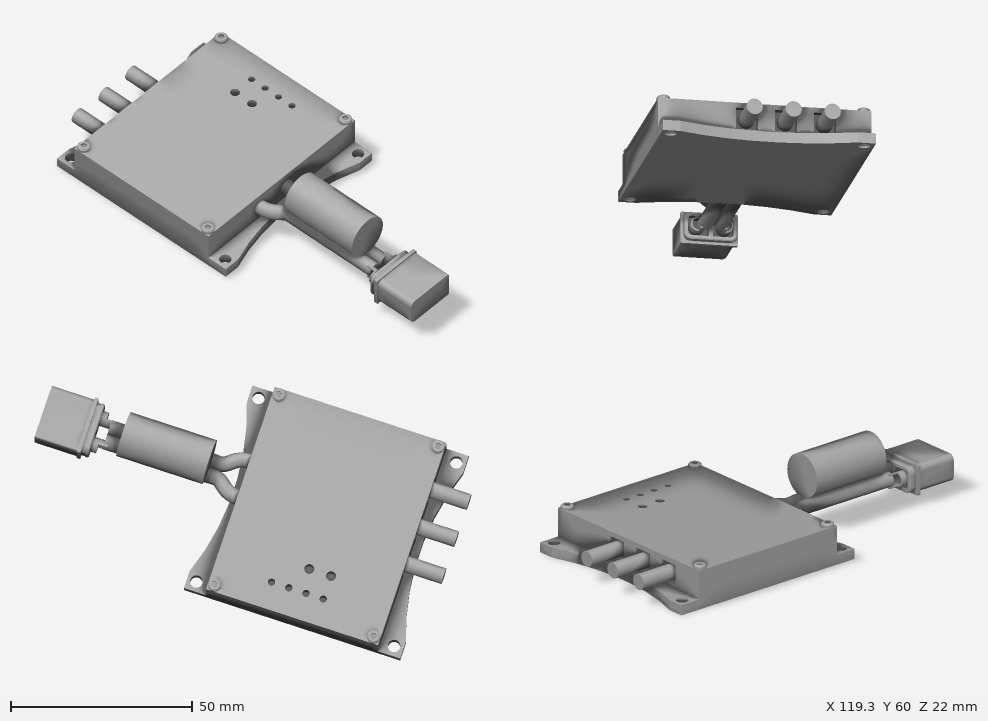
import cadquery as cq


OVERALL_LENGTH = 119.3

HOUSING_LENGTH = 50.0
HOUSING_WIDTH = 60.0
HOUSING_HEIGHT = 11.6
FLANGE_LENGTH = 62.9
FLANGE_HEIGHT = 3.0
FLANGE_CORNER_WIDTH = 5.0
FLANGE_WAIST_DEPTH = 4.4
MOUNT_HOLE_DIAMETER = 3.5
MOUNT_HOLE_X = 28.8
MOUNT_HOLE_Y = 27.2

LID_HOLE_DEPTH = 3.0
FIRST_LID_HOLE_X = -6.6
LIGHT_DIAMETER = 2.0
LIGHT_COUNT = 4
LIGHT_SPACING = 5.0
LIGHT_Y = 22.4
BUTTON_DIAMETER = 2.7
BUTTON_COUNT = 2
BUTTON_SPACING = 6.3
BUTTON_Y = 15.6

SCREW_DIAMETER = 3.7
SCREW_HEIGHT = 1.1
SCREW_CHAMFER = 0.4
SOCKET_SIDES = 6
SOCKET_WIDTH = 1.7
SOCKET_DEPTH = 0.6

LEAD_DIAMETER = 4.5
LEAD_LENGTH = 10.9
LEAD_COUNT = 3
LEAD_SPACING = 11.0
FIRST_LEAD_Y = 5.0
LEAD_Z = 7.0
POCKET_SIDE = 6.2
POCKET_DEPTH = 2.0

CABLE_Y = -3.5
WIRE_DIAMETER = 4.3
WIRE_SPACING = 4.2
WIRE_EXIT_SPACING = 10.7
WIRE_EXIT_Z = 6.9
WIRE_Z = 7.2
LEVEL_X = 32.2
WIRE_END_X = 64.8

CAPACITOR_DIAMETER = 12.8
CAPACITOR_LENGTH = 25.1
CAPACITOR_START_X = 35.1
CAPACITOR_TOP = 22.0

PIN_DIAMETER = 4.3
PIN_SPACING = 7.6
CUP_DIAMETER = 3.3
CUP_START_X = 63.5
CUP_END_X = 66.2
BORE_END_X = 68.7
PLATE_START_X = 67.9
NECK_START_X = 68.9
COLLAR_START_X = 70.0
SHELL_START_X = 71.1
PLATE_WIDTH = 14.9
PLATE_HEIGHT = 7.8
PLATE_CHAMFER = 0.2
NECK_WIDTH = 14.7
NECK_HEIGHT = 7.5
NECK_RADIUS = 2.0
RECESS_DEPTH = 2.0
RECESS_WALL = 1.0
DIVIDER_THICKNESS = 1.2
COLLAR_WIDTH = 16.2
COLLAR_HEIGHT = 9.1
COLLAR_RADIUS = 0.4
SHELL_WIDTH = 15.5
SHELL_HEIGHT = 8.0
SHELL_LARGE_RADIUS = 1.7
SHELL_SMALL_RADIUS = 0.5

HOUSING_END_X = HOUSING_LENGTH / 2
LEAD_TIP_X = -HOUSING_END_X - LEAD_LENGTH
RECESS_END_X = PLATE_START_X + RECESS_DEPTH
SHELL_END_X = LEAD_TIP_X + OVERALL_LENGTH
LEAD_YS = [FIRST_LEAD_Y - i * LEAD_SPACING for i in range(LEAD_COUNT)]


def corners(x, y):
    return [(x, y), (-x, y), (-x, -y), (x, -y)]


def block_along_x(start_x, end_x, width, height, y, z):
    size_x = end_x - start_x
    return cq.Workplane("XY").box(size_x, width, height).translate(((start_x + end_x) / 2, y, z))


def rod_along_x(start_x, end_x, diameter, y, z):
    return cq.Workplane("YZ", origin=(start_x, y, z)).circle(diameter / 2).extrude(end_x - start_x)


def make_flange():
    edge_x = FLANGE_LENGTH / 2
    waist_x = edge_x - FLANGE_WAIST_DEPTH
    side_y = HOUSING_WIDTH / 2
    arc_y = side_y - FLANGE_CORNER_WIDTH
    return (
        cq.Workplane("XY")
        .moveTo(-edge_x, side_y)
        .lineTo(edge_x, side_y)
        .lineTo(edge_x, arc_y)
        .threePointArc((waist_x, 0), (edge_x, -arc_y))
        .lineTo(edge_x, -side_y)
        .lineTo(-edge_x, -side_y)
        .lineTo(-edge_x, -arc_y)
        .threePointArc((-waist_x, 0), (-edge_x, arc_y))
        .close()
        .extrude(FLANGE_HEIGHT)
        .pushPoints(corners(MOUNT_HOLE_X, MOUNT_HOLE_Y))
        .circle(MOUNT_HOLE_DIAMETER / 2)
        .cutThruAll()
    )


def make_screw_heads():
    x = (HOUSING_LENGTH - SCREW_DIAMETER) / 2
    y = (HOUSING_WIDTH - SCREW_DIAMETER) / 2
    return (
        cq.Workplane("XY", origin=(0, 0, HOUSING_HEIGHT))
        .pushPoints(corners(x, y))
        .circle(SCREW_DIAMETER / 2)
        .extrude(SCREW_HEIGHT)
        .faces(">Z")
        .edges()
        .chamfer(SCREW_CHAMFER)
        .faces(">Z")
        .workplane(origin=(0, 0, 0))
        .pushPoints(corners(x, y))
        .polygon(SOCKET_SIDES, SOCKET_WIDTH, circumscribed=True)
        .cutBlind(-SOCKET_DEPTH)
    )


def make_lid_holes():
    lights = [(FIRST_LID_HOLE_X + i * LIGHT_SPACING, LIGHT_Y) for i in range(LIGHT_COUNT)]
    buttons = [(FIRST_LID_HOLE_X + i * BUTTON_SPACING, BUTTON_Y) for i in range(BUTTON_COUNT)]
    lid = cq.Workplane("XY", origin=(0, 0, HOUSING_HEIGHT))
    light_holes = lid.pushPoints(lights).circle(LIGHT_DIAMETER / 2).extrude(-LID_HOLE_DEPTH)
    button_holes = lid.pushPoints(buttons).circle(BUTTON_DIAMETER / 2).extrude(-LID_HOLE_DEPTH)
    return light_holes.add(button_holes).combine()


def make_housing():
    block = cq.Workplane("XY").box(
        HOUSING_LENGTH, HOUSING_WIDTH, HOUSING_HEIGHT, centered=(True, True, False)
    )
    housing = block.union(make_flange()).union(make_screw_heads()).cut(make_lid_holes())
    pocket_floor_x = -HOUSING_END_X + POCKET_DEPTH
    for y in LEAD_YS:
        pocket = block_along_x(-HOUSING_END_X, pocket_floor_x, POCKET_SIDE, POCKET_SIDE, y, LEAD_Z)
        housing = housing.cut(pocket)
    for y in LEAD_YS:
        housing = housing.union(rod_along_x(LEAD_TIP_X, pocket_floor_x, LEAD_DIAMETER, y, LEAD_Z))
    return housing


def make_wire(side):
    straight_y = CABLE_Y + side * WIRE_SPACING / 2
    exit_point = cq.Vector(HOUSING_END_X, CABLE_Y + side * WIRE_EXIT_SPACING / 2, WIRE_EXIT_Z)
    level_point = cq.Vector(LEVEL_X, straight_y, WIRE_EXIT_Z)
    bend_end = cq.Vector(CAPACITOR_START_X, straight_y, WIRE_Z)
    along_x = cq.Vector(1, 0, 0)
    curve = cq.Edge.makeSpline([exit_point, level_point, bend_end], tangents=[along_x, along_x])
    path = cq.Workplane("XY").newObject([cq.Wire.assembleEdges([curve])])
    bend = cq.Workplane("YZ", origin=exit_point.toTuple()).circle(WIRE_DIAMETER / 2).sweep(path)
    return bend.union(rod_along_x(bend_end.x, WIRE_END_X, WIRE_DIAMETER, straight_y, WIRE_Z))


def make_capacitor():
    center_z = CAPACITOR_TOP - CAPACITOR_DIAMETER / 2
    end_x = CAPACITOR_START_X + CAPACITOR_LENGTH
    return rod_along_x(CAPACITOR_START_X, end_x, CAPACITOR_DIAMETER, CABLE_Y, center_z)


def make_pin(side):
    """A contact whose solder cup is open on the side away from the other contact."""
    y = CABLE_Y + side * PIN_SPACING / 2
    pin = rod_along_x(CUP_START_X, RECESS_END_X, PIN_DIAMETER, y, WIRE_Z)
    bore = rod_along_x(CUP_START_X, BORE_END_X, CUP_DIAMETER, y, WIRE_Z)
    opening = block_along_x(
        CUP_START_X, CUP_END_X, PIN_DIAMETER, PIN_DIAMETER, y + side * PIN_DIAMETER / 2, WIRE_Z
    )
    return pin.cut(bore).cut(opening)


def make_recess():
    """The hollow around both contacts, split by a divider between them."""
    width = NECK_WIDTH - 2 * RECESS_WALL
    height = NECK_HEIGHT - 2 * RECESS_WALL
    recess = block_along_x(PLATE_START_X, RECESS_END_X, width, height, CABLE_Y, WIRE_Z)
    divider = block_along_x(
        PLATE_START_X, RECESS_END_X, DIVIDER_THICKNESS, height, CABLE_Y, WIRE_Z
    )
    return recess.edges("|X").fillet(NECK_RADIUS - RECESS_WALL).cut(divider)


def make_connector():
    plate = block_along_x(PLATE_START_X, NECK_START_X, PLATE_WIDTH, PLATE_HEIGHT, CABLE_Y, WIRE_Z)
    neck = block_along_x(NECK_START_X, COLLAR_START_X, NECK_WIDTH, NECK_HEIGHT, CABLE_Y, WIRE_Z)
    collar = block_along_x(
        COLLAR_START_X, SHELL_START_X, COLLAR_WIDTH, COLLAR_HEIGHT, CABLE_Y, WIRE_Z
    )
    shell = block_along_x(SHELL_START_X, SHELL_END_X, SHELL_WIDTH, SHELL_HEIGHT, CABLE_Y, WIRE_Z)
    connector = (
        plate.edges("|X").fillet(NECK_RADIUS)
        .faces("<X").chamfer(PLATE_CHAMFER)
        .union(neck.edges("|X").fillet(NECK_RADIUS))
        .union(collar.edges("|X").fillet(COLLAR_RADIUS))
        .union(
            shell.edges("|X and <Y").fillet(SHELL_LARGE_RADIUS)
            .edges("|X and >Y").fillet(SHELL_SMALL_RADIUS)
        )
        .cut(make_recess())
    )
    for side in (1, -1):
        connector = connector.union(make_pin(side))
    return connector


housing = make_housing()
capacitor = make_capacitor()
connector = make_connector()
wires = make_wire(1).union(make_wire(-1)).cut(connector)

bodies = [housing, wires, capacitor, connector]
result = cq.Compound.makeCompound([body.solids().val() for body in bodies])